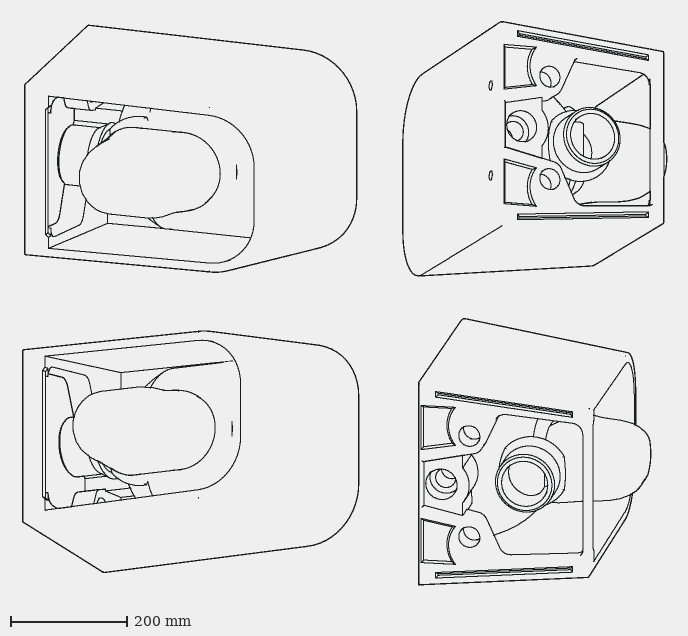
import cadquery as cq
import math


LENGTH = 498.5
RIM_Y = 299.0
RIM_HALF_WIDTH = 363.5 / 2
FOOT_LENGTH = 443.0
FOOT_HALF_WIDTH = 152.5
SIDE_TAPER = 4.0
OUTER_CORNER = 99.5
FOOT_EDGE_ROUND = 3.0
WALL_EDGE_ROUND = 2.0
RIM_BAND = 4.0

BACK_WALL = 45.0
SIDE_WALL = 16.5
FRONT_WALL = 17.0
CAVITY_CORNER = 84.5
CEILING_Y = 279.0

BOWL_TOP_Y = 284.0
BOWL_BACK_BULGE = 0.64
BOWL_SECTIONS = [
    (BOWL_TOP_Y, 73.5, 478.5, 162.5, 89.5),
    (219.5, 84.5, 448.5, 144.5, 89.5),
    (164.5, 104.5, 408.5, 122.5, 84.5),
    (109.5, 139.5, 329.0, 72.5, 60.0),
    (80.0, 179.5, 289.0, 40.0, 35.0),
]

TRAP_BOTTOM_Y = -61.0
TRAP_FLARE = (119.5, 91.5, 347.0, 81.5)
TRAP_TOP = (99.5, 99.5, 324.0, 67.0)
TRAP_SECTIONS = [
    TRAP_TOP,
    (50.0, 101.0, 314.0, 63.5),
    (0.0, 102.5, 303.5, 58.5),
    (-40.0, 122.0, 288.0, 51.0),
    (-56.0, 142.0, 271.5, 39.0),
    (TRAP_BOTTOM_Y, 165.5, 256.0, 25.0),
]

OUTLET_Y = 119.0
OUTLET_RADIUS = 52.0
OUTLET_BORE_RADIUS = 40.5
OUTLET_START = 34.0
OUTLET_END = 159.5
OUTLET_BORE_END = 149.5
OUTLET_FLARE_RADIUS = 63.0
OUTLET_FLARE_LENGTH = 20.0
OUTLET_FLARE_START = 89.5
WEIR_X = 99.5
WEIR_Y = 105.5
WEIR_ROUND = 20.0
OUTLET_CHAMFER = 4.0

INLET_Y = 259.5
INLET_BOSS_RADIUS = 49.0
INLET_BLOCK_HALF_WIDTH = 57.5
INLET_BORE_RADIUS = 27.5
INLET_BORE_DEPTH = 45.0
INLET_DRILL_RADIUS = 17.5
INLET_DRILL_DEPTH = 99.5
INLET_FACE_X = 5.0
INLET_BLOCK_END = 99.5
INLET_BLOCK_Y = 222.5

OPENING_FOOT_Y = 11.5
OPENING_TOP_Y = 290.0
OPENING_HALF = [(OPENING_FOOT_Y, 121.0), (159.0, 133.0), (192.0, 61.0), (OPENING_TOP_Y, 39.5)]
OPENING_ROUND = 20.0
OPENING_LIP_ROUND = 3.5
NOTCH_DEPTH = 5.0
NOTCH_HALF_WIDTH = 111.5

FIXING_Y = 210.0
FIXING_Z = 90.5
FIXING_RADIUS = 18.5
SEAT_HOLE_X = 53.0
SEAT_HOLE_Z = 80.0
SEAT_HOLE_RADIUS = 8.0

RECESS_DEPTH = 4.0
RECESS_TAPER = 42.0
GROOVE_WIDTH = 10.0
GROOVE_FOOT = (29.0, 139.0)
GROOVE_RIM = (268.5, 162.5)
PANEL_RIM_Y = 294.0
PANEL_ARC_Y = 246.0
PANEL_FOOT_Y = 234.5
PANEL_OUTER_Z = 141.0
PANEL_INNER_Z = 62.0
PANEL_INNER_FOOT_Z = 73.0

DIAGONAL = math.sqrt(0.5)
CLEARANCE = 0.5


def level(y):
    """Sketch plane parallel to the rim at height y, with sketch axes X and Z."""
    return cq.Workplane("XZ", origin=(0, y, 0))


def wall_plane(x=0.0):
    """Sketch plane parallel to the wall face, with sketch axes Y and Z."""
    return cq.Workplane("YZ", origin=(x, 0, 0))


def loft(wires):
    """Straight-sided between two outlines, smooth through more."""
    return cq.Workplane(cq.Solid.makeLoft(wires, len(wires) == 2))


def pan_outline(y, back, front, half_width, corner):
    """Square-backed outline with two rounded front corners."""
    front_half = half_width - SIDE_TAPER
    inset = corner * (1 - DIAGONAL)
    return (
        level(y)
        .moveTo(back, -half_width)
        .lineTo(front - corner, -front_half)
        .threePointArc((front - inset, inset - front_half), (front, corner - front_half))
        .lineTo(front, front_half - corner)
        .threePointArc((front - inset, front_half - inset), (front - corner, front_half))
        .lineTo(back, half_width)
        .close()
        .val()
    )


def bowl_outline(y, back, front, half_width, corner):
    """Round-backed outline with two rounded front corners."""
    back_depth = BOWL_BACK_BULGE * half_width
    inset = corner * (1 - DIAGONAL)
    return (
        level(y)
        .moveTo(front, corner - half_width)
        .lineTo(front, half_width - corner)
        .threePointArc((front - inset, half_width - inset), (front - corner, half_width))
        .lineTo(back + back_depth, half_width)
        .threePointArc((back, 0), (back + back_depth, -half_width))
        .lineTo(front - corner, -half_width)
        .threePointArc((front - inset, inset - half_width), (front, corner - half_width))
        .wire()
        .val()
    )


def trap_outline(y, back, front, half_width):
    return level(y).center((back + front) / 2, 0).slot2D(front - back, 2 * half_width).val()


def make_shell():
    foot = pan_outline(0, 0, FOOT_LENGTH, FOOT_HALF_WIDTH, OUTER_CORNER)
    rim = pan_outline(RIM_Y - RIM_BAND, 0, LENGTH, RIM_HALF_WIDTH, OUTER_CORNER)
    rim_top = pan_outline(RIM_Y, 0, LENGTH, RIM_HALF_WIDTH, OUTER_CORNER)
    body = loft([foot, rim]).union(loft([rim, rim_top]))
    body = body.faces("<Y").edges().fillet(FOOT_EDGE_ROUND)
    return body.faces("<X").edges().fillet(WALL_EDGE_ROUND)


def make_cavity():
    rise = CEILING_Y / RIM_Y
    half_width = FOOT_HALF_WIDTH - SIDE_WALL
    front = FOOT_LENGTH - FRONT_WALL
    half_growth = (RIM_HALF_WIDTH - FOOT_HALF_WIDTH) * rise
    front_growth = (LENGTH - FOOT_LENGTH) * rise
    foot = pan_outline(0, BACK_WALL, front, half_width, CAVITY_CORNER)
    ceiling = pan_outline(
        CEILING_Y, BACK_WALL, front + front_growth, half_width + half_growth, CAVITY_CORNER
    )
    return loft([foot, ceiling])


def make_opening():
    mirrored = [(y, -z) for y, z in reversed(OPENING_HALF)]
    opening = wall_plane().polyline(OPENING_HALF + mirrored).close().extrude(BACK_WALL + CLEARANCE)
    lower = cq.selectors.BoxSelector((0, 0, -LENGTH), (LENGTH, INLET_BLOCK_Y, LENGTH))
    return opening.edges("|X").edges(lower).fillet(OPENING_ROUND)


def make_notch():
    inner = BACK_WALL - NOTCH_DEPTH
    wide = NOTCH_HALF_WIDTH + NOTCH_DEPTH
    points = [
        (BACK_WALL, -wide),
        (inner, -NOTCH_HALF_WIDTH),
        (inner, NOTCH_HALF_WIDTH),
        (BACK_WALL, wide),
    ]
    return level(0).polyline(points).close().extrude(-OPENING_FOOT_Y)


def make_bowl():
    return loft([bowl_outline(*section) for section in BOWL_SECTIONS])


def make_trap():
    flare = loft([trap_outline(*TRAP_FLARE), trap_outline(*TRAP_TOP)])
    return flare.union(loft([trap_outline(*section) for section in TRAP_SECTIONS]))


def make_outlet():
    pipe = wall_plane(OUTLET_START).center(OUTLET_Y, 0).circle(OUTLET_RADIUS)
    pipe = pipe.extrude(OUTLET_END - OUTLET_START).faces("<X").edges().chamfer(OUTLET_CHAMFER)
    flare = cq.Solid.makeCone(
        OUTLET_RADIUS,
        OUTLET_FLARE_RADIUS,
        OUTLET_FLARE_LENGTH,
        cq.Vector(OUTLET_FLARE_START, OUTLET_Y, 0),
        cq.Vector(1, 0, 0),
    )
    return pipe.union(cq.Workplane(flare))


def make_outlet_bore():
    weir = (
        cq.Workplane("XY", origin=(WEIR_X, WEIR_Y, 0))
        .box(LENGTH, LENGTH, LENGTH, centered=(False, False, True))
        .edges("<X and <Y")
        .fillet(WEIR_ROUND)
    )
    return bore(OUTLET_Y, 0, OUTLET_BORE_RADIUS, OUTLET_BORE_END).cut(weir)


def make_inlet_block():
    length = INLET_BLOCK_END - INLET_FACE_X
    height = OPENING_TOP_Y - INLET_BLOCK_Y
    face = wall_plane(INLET_FACE_X).center(INLET_BLOCK_Y + height / 2, 0)
    block = face.rect(height, 2 * INLET_BLOCK_HALF_WIDTH).extrude(length)
    boss = wall_plane(INLET_FACE_X).center(INLET_Y, 0).circle(INLET_BOSS_RADIUS).extrude(length)
    below_top = cq.Workplane("XY").box(LENGTH, OPENING_TOP_Y, LENGTH, centered=(True, False, True))
    return block.union(boss.intersect(below_top))


def bore(y, z, radius, depth):
    return wall_plane().center(y, z).circle(radius).extrude(depth)


def groove(side):
    """Straight groove beside the flank of the wall face; side is +1 or -1."""
    (foot_y, foot_z), (rim_y, rim_z) = GROOVE_FOOT, GROOVE_RIM
    half = GROOVE_WIDTH / 2
    points = [
        (foot_y, side * (foot_z - half)),
        (rim_y, side * (rim_z - half)),
        (rim_y, side * (rim_z + half)),
        (foot_y, side * (foot_z + half)),
    ]
    outline = wall_plane().polyline(points).close()
    return outline.extrude(RECESS_DEPTH, taper=RECESS_TAPER)


def panel(side):
    """Shallow panel beside the inlet, hollowed around the fixing hole; side is +1 or -1."""
    arc_z = (PANEL_OUTER_Z + PANEL_INNER_FOOT_Z) / 2
    return (
        wall_plane()
        .moveTo(PANEL_RIM_Y, side * PANEL_OUTER_Z)
        .lineTo(PANEL_FOOT_Y, side * PANEL_OUTER_Z)
        .threePointArc((PANEL_ARC_Y, side * arc_z), (PANEL_FOOT_Y, side * PANEL_INNER_FOOT_Z))
        .lineTo(PANEL_RIM_Y, side * PANEL_INNER_Z)
        .close()
        .extrude(RECESS_DEPTH, taper=RECESS_TAPER)
    )


shell = make_shell()
result = shell.cut(make_cavity()).cut(make_opening())
opening_lip = cq.selectors.BoxSelector(
    (-CLEARANCE, OPENING_FOOT_Y - CLEARANCE, -FOOT_HALF_WIDTH),
    (CLEARANCE, OPENING_TOP_Y + CLEARANCE, FOOT_HALF_WIDTH),
)
result = result.edges(opening_lip).fillet(OPENING_LIP_ROUND)
result = result.cut(make_notch())

result = result.union(make_bowl().intersect(shell)).union(make_trap())
result = result.union(make_outlet()).union(make_inlet_block())

result = result.cut(make_outlet_bore())
result = result.cut(bore(INLET_Y, 0, INLET_BORE_RADIUS, INLET_BORE_DEPTH))
result = result.cut(bore(INLET_Y, 0, INLET_DRILL_RADIUS, INLET_DRILL_DEPTH))

for side in (1, -1):
    result = result.cut(bore(FIXING_Y, side * FIXING_Z, FIXING_RADIUS, BACK_WALL))
    seat_hole = level(RIM_Y).center(SEAT_HOLE_X, side * SEAT_HOLE_Z).circle(SEAT_HOLE_RADIUS)
    result = result.cut(seat_hole.extrude(RIM_Y - FIXING_Y))
    result = result.cut(groove(side)).cut(panel(side))